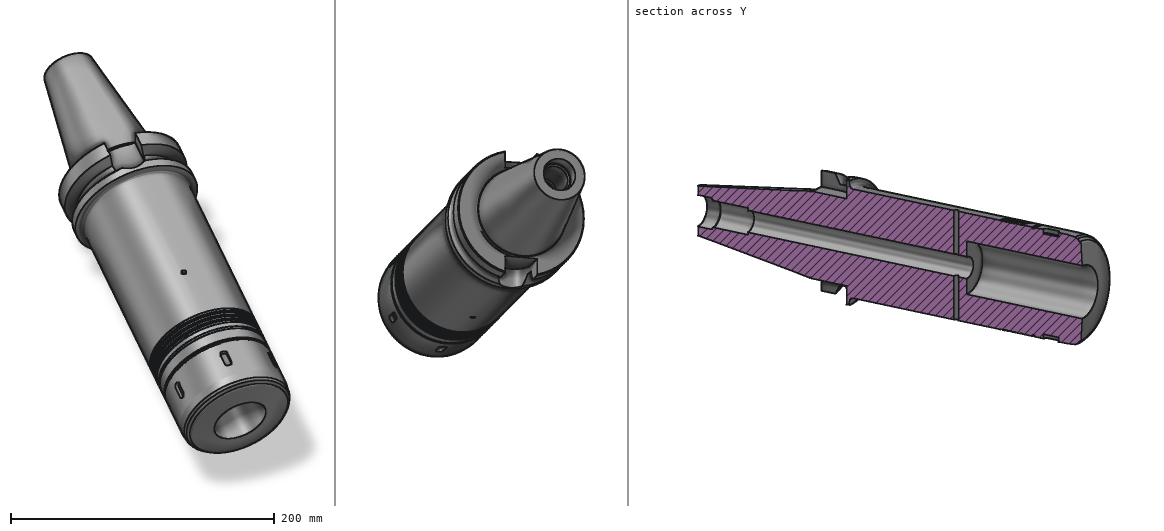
import cadquery as cq
import math

total_length = 351.8

taper_ratio = 7 / 24
gauge_diameter = 70.0
taper_length = 102.5
tail_diameter = gauge_diameter - taper_length * taper_ratio
neck_diameter = 69.0
neck_fillet = 1.5

flange_diameter = 100.0
flange_front = 104.5
flange_rear = 139.0
flange_chamfer = 0.7
v_groove_diameter = 84.5
v_groove_bottom_start = 121.7
v_groove_bottom_end = 127.7
v_groove_half_angle = 30.0

body_diameter = 88.0
body_fillet = 3.0

ring_width = 2.0
ring_diameter = 87.2
ring_pitch = 4.0
ring_count = 4
first_ring = 277.0
single_ring = 294.8
nut_gap = 306.0
nut_gap_diameter = 86.0

nose_taper_start = 339.0
nose_taper_end = 345.5
nose_taper_diameter = 86.5
nose_edge = 347.5
nose_edge_diameter = 84.5
nose_bevel_end = 349.5
nose_bevel_diameter = 80.2
face_fillet = 1.5
face_inner_diameter = 44.5

thread_diameter = 21.0
thread_depth = 45.7
thread_chamfer_diameter = 24.0
pilot_diameter = 25.0
pilot_depth = 12.5
through_diameter = 17.2
collet_bore_diameter = 42.2
collet_bore_depth = 105.5

drive_slot_width = 25.5
drive_slot_end = 135.8
drive_slot_floor = 35.2

wrench_slot_count = 6
wrench_slot_length = 13.7
wrench_slot_width = 5.5
wrench_slot_corner = 2.0
wrench_slot_depth = 3.5
wrench_slot_centre = 323.0

cross_hole_diameter = 4.0
cross_hole_position = 236.5


def cylinder_along_x(start, end, diameter):
    return cq.Workplane("YZ", origin=(start, 0, 0)).circle(diameter / 2).extrude(end - start)


def turned_body():
    flange_radius = flange_diameter / 2
    groove_radius = v_groove_diameter / 2
    body_radius = body_diameter / 2
    flank_run = (flange_radius - groove_radius) * math.tan(math.radians(v_groove_half_angle))
    neck_radius = neck_diameter / 2
    bevel_radius = nose_bevel_diameter / 2
    neck_diagonal = neck_fillet * (1 - math.sqrt(0.5))
    body_diagonal = body_fillet * (1 - math.sqrt(0.5))
    face_diagonal = face_fillet * (1 - math.sqrt(0.5))

    profile = (
        cq.Workplane("XY")
        .moveTo(0, 0)
        .lineTo(0, tail_diameter / 2)
        .lineTo(taper_length, gauge_diameter / 2)
        .lineTo(taper_length, neck_radius)
        .lineTo(flange_front - neck_fillet, neck_radius)
        .threePointArc(
            (flange_front - neck_diagonal, neck_radius + neck_diagonal),
            (flange_front, neck_radius + neck_fillet),
        )
        .lineTo(flange_front, flange_radius - flange_chamfer)
        .lineTo(flange_front + flange_chamfer, flange_radius)
        .lineTo(v_groove_bottom_start - flank_run, flange_radius)
        .lineTo(v_groove_bottom_start, groove_radius)
        .lineTo(v_groove_bottom_end, groove_radius)
        .lineTo(v_groove_bottom_end + flank_run, flange_radius)
        .lineTo(flange_rear, flange_radius)
        .lineTo(flange_rear, body_radius + body_fillet)
        .threePointArc(
            (flange_rear + body_diagonal, body_radius + body_diagonal),
            (flange_rear + body_fillet, body_radius),
        )
        .lineTo(nose_taper_start, body_radius)
        .lineTo(nose_taper_end, nose_taper_diameter / 2)
        .lineTo(nose_edge, nose_edge_diameter / 2)
        .lineTo(nose_bevel_end, bevel_radius)
        .threePointArc(
            (nose_bevel_end + face_fillet - face_diagonal, bevel_radius - face_diagonal),
            (nose_bevel_end + face_fillet, bevel_radius - face_fillet),
        )
        .lineTo(total_length, face_inner_diameter / 2)
        .lineTo(total_length, 0)
        .close()
    )
    return profile.revolve(360, (0, 0, 0), (1, 0, 0))


def ring_groove(start, diameter):
    outer = cylinder_along_x(start, start + ring_width, flange_diameter)
    return outer.cut(cylinder_along_x(start, start + ring_width, diameter))


def central_bores():
    chamfer = (thread_chamfer_diameter - thread_diameter) / 2
    thread_lead_in = (
        cq.Workplane("YZ", origin=(pilot_depth, 0, 0))
        .circle(thread_chamfer_diameter / 2)
        .workplane(offset=chamfer)
        .circle(thread_diameter / 2)
        .loft()
    )
    return (
        cylinder_along_x(0, total_length, through_diameter)
        .union(cylinder_along_x(0, thread_depth, thread_diameter))
        .union(thread_lead_in)
        .union(cylinder_along_x(0, pilot_depth, pilot_diameter))
        .union(cylinder_along_x(total_length - collet_bore_depth, total_length, collet_bore_diameter))
    )


def drive_slot():
    """Open-fronted slot with a round end, cut down to a flat floor on the +Z side."""
    half_width = drive_slot_width / 2
    arc_centre = drive_slot_end - half_width
    return (
        cq.Workplane("XY", origin=(0, 0, drive_slot_floor))
        .moveTo(taper_length, -half_width)
        .lineTo(arc_centre, -half_width)
        .threePointArc((drive_slot_end, 0), (arc_centre, half_width))
        .lineTo(taper_length, half_width)
        .close()
        .extrude(flange_diameter / 2)
    )


def wrench_slot(angle):
    floor = body_diameter / 2 - wrench_slot_depth
    slot = (
        cq.Workplane("XY", origin=(wrench_slot_centre, 0, floor))
        .rect(wrench_slot_length, wrench_slot_width)
        .extrude(2 * wrench_slot_depth)
        .edges("|Z")
        .fillet(wrench_slot_corner)
    )
    return slot.rotate((0, 0, 0), (1, 0, 0), angle)


def cross_hole():
    return (
        cq.Workplane("XY", origin=(cross_hole_position, 0, -body_diameter))
        .circle(cross_hole_diameter / 2)
        .extrude(2 * body_diameter)
    )


result = turned_body()

for index in range(ring_count):
    result = result.cut(ring_groove(first_ring + index * ring_pitch, ring_diameter))
result = result.cut(ring_groove(single_ring, ring_diameter))
result = result.cut(ring_groove(nut_gap, nut_gap_diameter))

result = result.cut(central_bores())

for turn in (0, 180):
    result = result.cut(drive_slot().rotate((0, 0, 0), (1, 0, 0), turn))

for index in range(wrench_slot_count):
    result = result.cut(wrench_slot(index * 360 / wrench_slot_count))

result = result.cut(cross_hole())